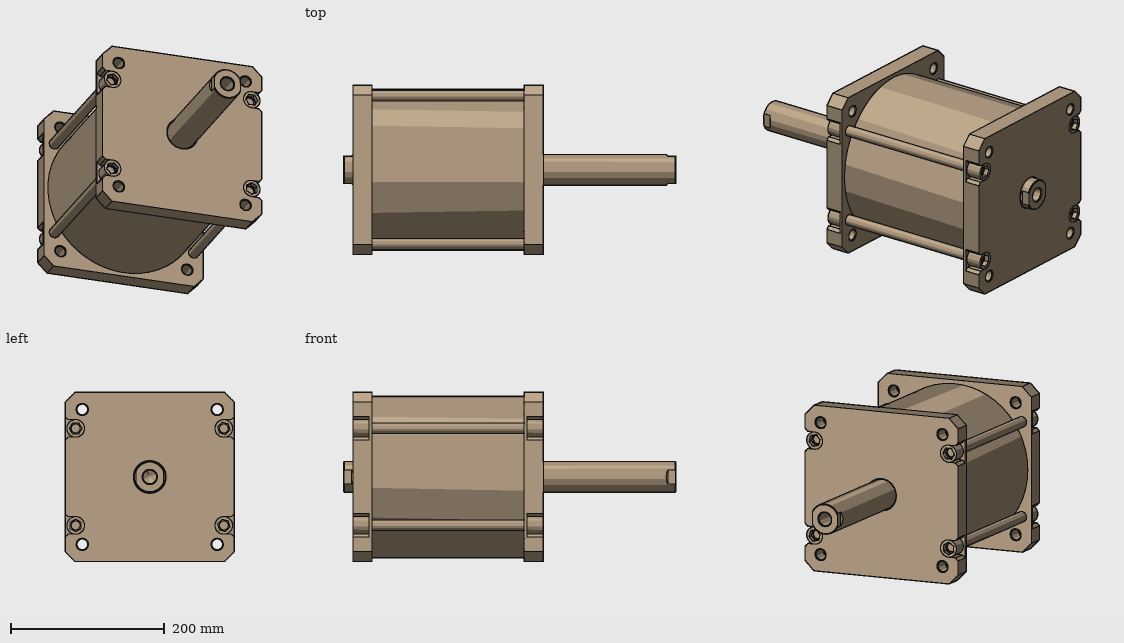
import cadquery as cq
import math


rod_length = 431.5
rod_dia = 40.0
rod_left_stickout = 12.0
rod_edge_chamfer = 1.0
flat_width = 36.0
flat_length = 10.5
rod_bore_dia = 17.5
rod_bore_depth = 34.5
bore_mouth_dia = 20.0
drill_tip_angle = 118.0

plate_size = 220.0
plate_thickness = 25.0
corner_chamfer = 13.0
corner_hole_dia = 14.0
corner_hole_mouth_dia = 16.0
corner_hole_offset = 87.5
rod_hole_chamfer = 1.5

barrel_length = 197.0
barrel_dia = 210.0

tie_dia = 14.0
tie_y = 96.2
tie_z = 63.0
head_dia = 23.0
head_length = 21.0
notch_mouth_chamfer = 4.0
socket_across_corners = 16.5
socket_depth = 7.0
pilot_dia = 11.5
pilot_depth = 2.0
tie_places = [(1, 1, 0), (1, -1, 30), (-1, 1, 15), (-1, -1, 15)]

left_plate_x = rod_left_stickout
barrel_x = left_plate_x + plate_thickness
middle_x = barrel_x + barrel_length / 2


def cylinder(x, dia, length, y=0.0, z=0.0):
    """Cylinder along +X that starts at x."""
    return cq.Workplane("YZ", origin=(x, y, z)).circle(dia / 2).extrude(length)


def cone(x, start_dia, end_dia, length, y=0.0, z=0.0):
    """Truncated cone along +X that starts at x."""
    return cq.Workplane(
        cq.Solid.makeCone(start_dia / 2, end_dia / 2, length, cq.Vector(x, y, z), cq.Vector(1, 0, 0))
    )


def mirrored(shape):
    """Copy of a shape reflected to the other end of the barrel."""
    return shape.mirror("YZ", (middle_x, 0, 0))


def tie_notch(y_side, z_side):
    """Notch for a tie-rod head, open to the plate's side and outer face, with a chamfered mouth."""
    radius = head_dia / 2
    edge = plate_size / 2 - tie_y
    neck = edge - notch_mouth_chamfer
    mouth = radius + notch_mouth_chamfer
    return (
        cq.Workplane("YZ", origin=(left_plate_x, y_side * tie_y, z_side * tie_z))
        .moveTo(0, radius)
        .lineTo(y_side * neck, radius)
        .lineTo(y_side * edge, mouth)
        .lineTo(y_side * edge, -mouth)
        .lineTo(y_side * neck, -radius)
        .lineTo(0, -radius)
        .threePointArc((-y_side * radius, 0), (0, radius))
        .close()
        .extrude(head_length)
    )


def corner_hole(y, z):
    """Through hole of a plate, chamfered at both faces."""
    depth = (corner_hole_mouth_dia - corner_hole_dia) / 2
    far_x = left_plate_x + plate_thickness - depth
    return (
        cylinder(left_plate_x, corner_hole_dia, plate_thickness, y, z)
        .union(cone(left_plate_x, corner_hole_mouth_dia, corner_hole_dia, depth, y, z))
        .union(cone(far_x, corner_hole_dia, corner_hole_mouth_dia, depth, y, z))
    )


def make_end_plate():
    """Left end plate; the right one is its mirror image."""
    plate = (
        cq.Workplane("YZ", origin=(left_plate_x, 0, 0))
        .rect(plate_size, plate_size)
        .extrude(plate_thickness)
        .edges("|X")
        .chamfer(corner_chamfer)
    )
    plate = plate.cut(cylinder(left_plate_x, rod_dia, plate_thickness))
    rod_hole_mouth_dia = rod_dia + 2 * rod_hole_chamfer
    plate = plate.cut(cone(left_plate_x, rod_hole_mouth_dia, rod_dia, rod_hole_chamfer))
    for y_side, z_side, _ in tie_places:
        plate = plate.cut(corner_hole(y_side * corner_hole_offset, z_side * corner_hole_offset))
        plate = plate.cut(tie_notch(y_side, z_side))
        plate = plate.cut(cylinder(left_plate_x, tie_dia, plate_thickness, y_side * tie_y, z_side * tie_z))
    return plate


def make_barrel():
    """Round barrel between the plates, bored for the piston rod."""
    barrel = cylinder(barrel_x, barrel_dia, barrel_length)
    return barrel.cut(cylinder(barrel_x, rod_dia, barrel_length))


def make_tie_rod(y_side, z_side, socket_turn):
    """Tie rod with a round socket head at each end, flush with the plates' outer faces."""
    y = y_side * tie_y
    z = z_side * tie_z
    head = cylinder(left_plate_x, head_dia, head_length, y, z)
    hexagon = (
        cq.Workplane("YZ", origin=(left_plate_x, y, z))
        .transformed(rotate=(0, 0, socket_turn))
        .polygon(6, socket_across_corners)
        .extrude(socket_depth)
    )
    pilot = cylinder(left_plate_x, pilot_dia, socket_depth + pilot_depth, y, z)
    head = head.cut(hexagon).cut(pilot)
    shank_x = left_plate_x + head_length
    shank = cylinder(shank_x, tie_dia, 2 * (middle_x - shank_x), y, z)
    return shank.union(head).union(mirrored(head))


def flat_cutter(y_side):
    """Wedge that cuts one wrench flat at the left rod tip, with a 45 degree shoulder."""
    flat_y = flat_width / 2
    outside_y = rod_dia
    return (
        cq.Workplane("XY", origin=(0, 0, -rod_dia / 2))
        .moveTo(0, y_side * flat_y)
        .lineTo(flat_length, y_side * flat_y)
        .lineTo(flat_length + outside_y - flat_y, y_side * outside_y)
        .lineTo(0, y_side * outside_y)
        .close()
        .extrude(rod_dia)
    )


def rod_end_bore():
    """Blind drilled hole in the left rod tip, with a chamfered mouth and a conical bottom."""
    mouth_depth = (bore_mouth_dia - rod_bore_dia) / 2
    tip_length = rod_bore_dia / 2 / math.tan(math.radians(drill_tip_angle / 2))
    return (
        cylinder(0, rod_bore_dia, rod_bore_depth)
        .union(cone(0, bore_mouth_dia, rod_bore_dia, mouth_depth))
        .union(cone(rod_bore_depth, rod_bore_dia, 0, tip_length))
    )


def make_piston_rod():
    """Piston rod with the same wrench flats, chamfer and bore at both ends."""
    rod = cylinder(0, rod_dia, rod_length).faces("<X or >X").chamfer(rod_edge_chamfer)
    left_cutters = [flat_cutter(1), flat_cutter(-1), rod_end_bore()]
    for cutter in left_cutters:
        rod = rod.cut(cutter)
        rod = rod.cut(cutter.mirror("YZ", (rod_length / 2, 0, 0)))
    return rod


left_plate = make_end_plate()
right_plate = mirrored(left_plate)
barrel = make_barrel()
piston_rod = make_piston_rod()
tie_rods = [make_tie_rod(*place) for place in tie_places]

result = cq.Compound.makeCompound(
    [left_plate.val(), right_plate.val(), barrel.val(), piston_rod.val()]
    + [tie_rod.val() for tie_rod in tie_rods]
)